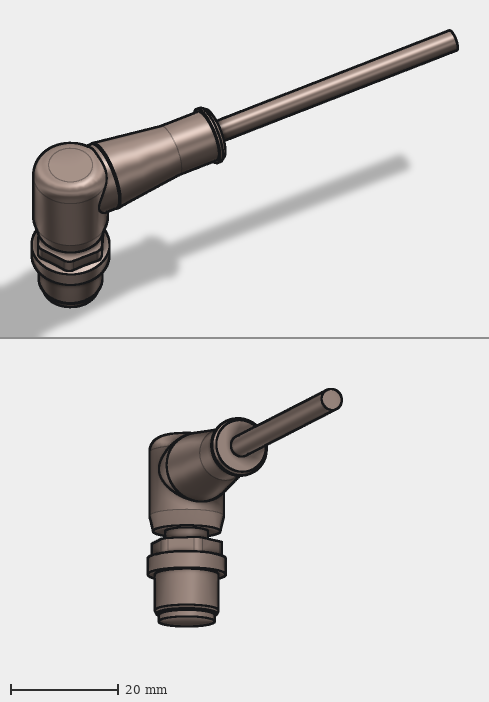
import cadquery as cq


nut_top = 14.8
nut_across_flats = 12.0
nut_corner_radius = 1.75
neck_radius = 4.0

barrel_radius = nut_across_flats / 2
flange_radius = 7.29
flange_bottom = 8.9
flange_rim_top = 12.0
flange_top = 12.3
flange_top_radius = barrel_radius
tip_radius = 5.2
tip_top = 1.2
barrel_chamfer_radius = 5.7
barrel_chamfer_bottom = 1.5
barrel_chamfer_top = 2.1

housing_radius = 7.0
housing_bottom = 17.1
housing_bottom_radius = 6.3
housing_taper_top = 20.0
housing_top = 35.0
housing_fillet = 2.9

arm_height = 28.0
sleeve_root_radius = 6.5
sleeve_root_end = 6.9
sleeve_wide_radius = 6.55
sleeve_taper_start = 7.2
sleeve_taper_end = 20.8
sleeve_radius = 4.9
collar_radius = 5.4
collar_start = 28.55
collar_chamfer_start = 29.2
collar_end = 29.95
cable_radius = 2.0
overall_length = 87.3
cable_end = overall_length - flange_radius


def make_plug():
    """Tip, chamfered barrel, flange and neck, revolved around Z."""
    return (
        cq.Workplane("XZ")
        .polyline([
            (0, 0),
            (tip_radius, 0),
            (tip_radius, tip_top),
            (barrel_chamfer_radius, barrel_chamfer_bottom),
            (barrel_radius, barrel_chamfer_top),
            (barrel_radius, flange_bottom),
            (flange_radius, flange_bottom),
            (flange_radius, flange_rim_top),
            (flange_top_radius, flange_top),
            (neck_radius, flange_top),
            (neck_radius, housing_taper_top),
            (0, housing_taper_top),
        ])
        .close()
        .revolve(360, (0, 0), (0, 1))
    )


def make_nut():
    """Hexagon with flats facing +X and -X and rounded corners."""
    return (
        cq.Workplane("XY", origin=(0, 0, flange_rim_top))
        .polygon(6, nut_across_flats, circumscribed=True)
        .extrude(nut_top - flange_rim_top)
        .edges("|Z")
        .fillet(nut_corner_radius)
    )


def make_housing():
    """Round housing with a tapered foot and a rounded top edge."""
    body = (
        cq.Workplane("XZ")
        .polyline([
            (0, housing_bottom),
            (housing_bottom_radius, housing_bottom),
            (housing_radius, housing_taper_top),
            (housing_radius, housing_top),
            (0, housing_top),
        ])
        .close()
        .revolve(360, (0, 0), (0, 1))
    )
    return body.faces(">Z").edges().fillet(housing_fillet)


def make_cable_arm():
    """Tapered sleeve, end collar and cable, revolved around the arm axis."""
    return (
        cq.Workplane("XY", origin=(0, 0, arm_height))
        .polyline([
            (0, 0),
            (sleeve_root_radius, 0),
            (sleeve_root_radius, sleeve_root_end),
            (sleeve_wide_radius, sleeve_taper_start),
            (sleeve_radius, sleeve_taper_end),
            (sleeve_radius, collar_start),
            (collar_radius, collar_start),
            (collar_radius, collar_chamfer_start),
            (sleeve_radius, collar_end),
            (cable_radius, collar_end),
            (cable_radius, cable_end),
            (0, cable_end),
        ])
        .close()
        .revolve(360, (0, 0), (0, 1))
    )


result = make_plug().union(make_nut()).union(make_housing()).union(make_cable_arm())